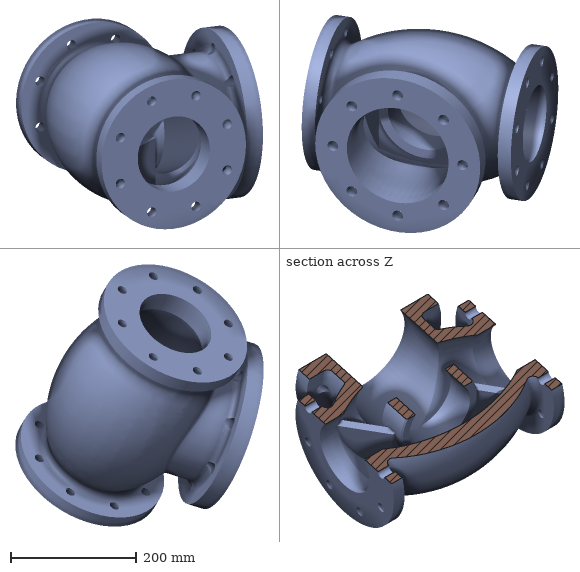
import cadquery as cq
import math

length = 350.0
end_flange_diameter = 250.0
end_flange_thickness = 22.0
pipe_bore = 125.0
belly_radius = end_flange_diameter / 2
waist_x = 138.0
waist_radius = 85.0
cavity_radius = 94.5

branch_top = 170.0
branch_flange_diameter = 276.0
branch_flange_thickness = 27.5
neck_diameter = 202.0
neck_bore = 170.0
neck_flange_fillet = 10.0
neck_body_fillet = 6.3

bolt_count = 8
end_bolt_circle = 200.2
end_bolt_diameter = 16.0
branch_bolt_circle = 217.0
branch_bolt_diameter = 18.0

seat_outer = 156.0
seat_bore = pipe_bore
seat_half_height = 25.0
seat_chamfer = 2.5
wall_thickness = 14.0
wall_embedding = 3.5
wall_end = (-139.3, 63.0)
wall_knee = (-87.5, -1.5)
wall_foot = (-82.5, -7.5)
shelf_drop = 7.0

half_length = length / 2
flange_face = half_length - end_flange_thickness


def make_body():
    """Outer body of revolution; a waist arc joins the belly to each flange."""
    rise = belly_radius - waist_radius
    belly_arc_radius = (waist_x**2 + rise**2) / (2 * rise)
    slope = math.asin(waist_x / belly_arc_radius)
    fillet = (flange_face - waist_x) / (1 + math.sin(slope))
    fillet_x = flange_face - fillet
    fillet_y = waist_radius + fillet * math.cos(slope)
    bottom_y = fillet_y - fillet
    profile = (
        cq.Workplane("XY")
        .moveTo(-half_length, 0)
        .lineTo(-half_length, belly_radius)
        .lineTo(-flange_face, belly_radius)
        .lineTo(-flange_face, fillet_y)
        .threePointArc((-fillet_x, bottom_y), (-waist_x, waist_radius))
        .threePointArc((0, belly_radius), (waist_x, waist_radius))
        .threePointArc((fillet_x, bottom_y), (flange_face, fillet_y))
        .lineTo(flange_face, belly_radius)
        .lineTo(half_length, belly_radius)
        .lineTo(half_length, 0)
        .close()
    )
    return profile.revolve(360, (0, 0, 0), (1, 0, 0)).rotate((0, 0, 0), (1, 0, 0), -90)


def make_cavity(margin=0):
    """Straight bores that open into a bulging chamber, all radii enlarged by the margin."""
    bore_radius = pipe_bore / 2 + margin
    profile = (
        cq.Workplane("XY")
        .moveTo(-half_length, 0)
        .lineTo(-half_length, bore_radius)
        .lineTo(-waist_x, bore_radius)
        .threePointArc((0, cavity_radius + margin), (waist_x, bore_radius))
        .lineTo(half_length, bore_radius)
        .lineTo(half_length, 0)
        .close()
    )
    return profile.revolve(360, (0, 0, 0), (1, 0, 0)).rotate((0, 0, 0), (1, 0, 0), -90)


def y_cylinder(diameter, start, end):
    """Cylinder around the Y axis from y = start to y = end."""
    return cq.Workplane("XZ", origin=(0, start, 0)).circle(diameter / 2).extrude(start - end)


def add_branch(body):
    """Neck and flange of the side branch, with a fillet at both neck ends."""
    underside = branch_top - branch_flange_thickness
    neck_radius = neck_diameter / 2
    flange_radius = branch_flange_diameter / 2
    corner = neck_flange_fillet * (1 - math.sqrt(0.5))
    branch = (
        cq.Workplane("XY")
        .lineTo(neck_radius, 0)
        .lineTo(neck_radius, underside - neck_flange_fillet)
        .threePointArc(
            (neck_radius + corner, underside - corner),
            (neck_radius + neck_flange_fillet, underside),
        )
        .lineTo(flange_radius, underside)
        .lineTo(flange_radius, branch_top)
        .lineTo(0, branch_top)
        .close()
        .revolve(360, (0, 0, 0), (0, 1, 0))
    )
    joined = body.union(branch)
    return joined.edges("%BSPLINE").fillet(neck_body_fillet)


def make_partition():
    """S-shaped half wall below z = 0: a shelf at the seat and a slanted wall to each bore."""
    run = wall_knee[0] - wall_end[0]
    fall = wall_end[1] - wall_knee[1]
    slant = math.hypot(run, fall)
    start = (wall_end[0] - wall_thickness * run / slant, wall_end[1] + wall_thickness * fall / slant)
    lower_side = [start, wall_end, wall_knee, wall_foot, (0, wall_foot[1] - shelf_drop)]
    slant_offset = wall_thickness / slant
    far_end = (-start[0] - fall * slant_offset, -start[1] - run * slant_offset)
    far_foot = (-wall_knee[0] - fall * slant_offset, wall_foot[1])
    lower_side += [far_foot, far_end]
    upper_side = [(-x, -y) for x, y in lower_side]
    return cq.Workplane("XY").polyline(lower_side + upper_side).close().extrude(-belly_radius)


def make_seat():
    """Partition and seat ring, trimmed just inside the chamber wall and opened by the seat bore."""
    ring = y_cylinder(seat_outer, -seat_half_height, seat_half_height).faces("<Y").chamfer(seat_chamfer)
    bore = y_cylinder(seat_bore, -belly_radius, belly_radius)
    return make_partition().union(ring).cut(bore).intersect(make_cavity(wall_embedding))


def bolt_points(circle, start_angle):
    """Evenly spaced bolt positions on a circle."""
    angles = [math.radians(start_angle + 360 * i / bolt_count) for i in range(bolt_count)]
    return [(circle / 2 * math.cos(a), circle / 2 * math.sin(a)) for a in angles]


def make_bolt_holes():
    """Through holes of all three flanges."""
    holes = cq.Workplane("XY")
    for side in (-half_length, flange_face):
        end_holes = (
            cq.Workplane("YZ", origin=(side, 0, 0))
            .pushPoints(bolt_points(end_bolt_circle, 180 / bolt_count))
            .circle(end_bolt_diameter / 2)
            .extrude(end_flange_thickness)
        )
        holes = holes.add(end_holes)
    branch_holes = (
        cq.Workplane("XZ", origin=(0, branch_top, 0))
        .pushPoints(bolt_points(branch_bolt_circle, 0))
        .circle(branch_bolt_diameter / 2)
        .extrude(branch_flange_thickness + neck_flange_fillet)
    )
    return holes.add(branch_holes).combine()


shell = add_branch(make_body()).cut(make_cavity()).cut(y_cylinder(neck_bore, 0, branch_top))
result = shell.union(make_seat()).cut(make_bolt_holes())